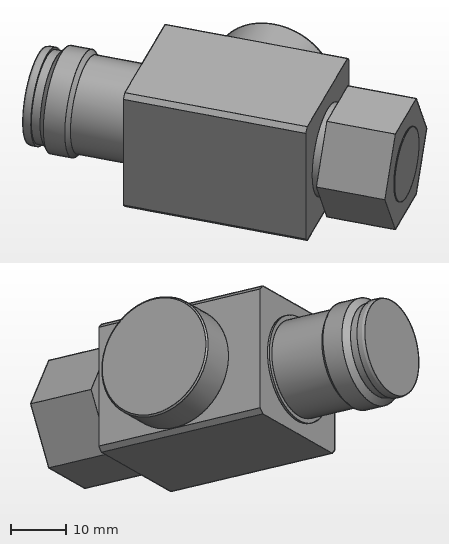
import cadquery as cq


BODY_START = 20.4
BODY_LENGTH = 34.9
BODY_WIDTH = 25.0
BODY_CHAMFER = 0.9
BODY_END = BODY_START + BODY_LENGTH

LIP_RADIUS = 9.2
LIP_CHAMFER_LENGTH = 0.5
LIP_CHAMFER_DEPTH = 0.15
LIP_END = 1.6
GROOVE_RADIUS = 8.8
GROOVE_END = 3.25
RIDGE_RADIUS = 10.05
RIDGE_START = 4.3
RIDGE_END = 8.4
BARREL_RADIUS = 9.2
BARREL_START = 9.2
COLLAR_RADIUS = 10.05
COLLAR_LENGTH = 0.4

CAP_RADIUS = 11.5
CAP_X = 38.75
CAP_HEIGHT = 7.1
CAP_CHAMFER = 0.3

NECK_RADIUS = 8.8
NECK_LENGTH = 1.9
NUT_ACROSS_FLATS = 21.0
NUT_LENGTH = 13.1
NUT_TURN = 30
END_DISC_RADIUS = 7.0
TOTAL_LENGTH = 70.5
NUT_START = BODY_END + NECK_LENGTH
NUT_END = NUT_START + NUT_LENGTH


def make_body():
    """Square block with its four lengthwise edges chamfered."""
    return (
        cq.Workplane("YZ", origin=(BODY_START, 0, 0))
        .rect(BODY_WIDTH, BODY_WIDTH)
        .extrude(BODY_LENGTH)
        .edges("|X")
        .chamfer(BODY_CHAMFER)
    )


def make_barrel():
    """Turned plug barrel: lip, groove, sloped ridge, shank and collar."""
    collar_start = BODY_START - COLLAR_LENGTH
    profile = [
        (0, 0),
        (0, LIP_RADIUS - LIP_CHAMFER_DEPTH),
        (LIP_CHAMFER_LENGTH, LIP_RADIUS),
        (LIP_END, LIP_RADIUS),
        (LIP_END, GROOVE_RADIUS),
        (GROOVE_END, GROOVE_RADIUS),
        (RIDGE_START, RIDGE_RADIUS),
        (RIDGE_END, RIDGE_RADIUS),
        (BARREL_START, BARREL_RADIUS),
        (collar_start, BARREL_RADIUS),
        (collar_start, COLLAR_RADIUS),
        (BODY_START, COLLAR_RADIUS),
        (BODY_START, 0),
    ]
    return cq.Workplane("XZ").polyline(profile).close().revolve(360, (0, 0, 0), (1, 0, 0))


def make_cap():
    """Round branch cap standing on the +Y face, with a chamfered rim."""
    return (
        cq.Workplane("XZ", origin=(CAP_X, 0, 0))
        .circle(CAP_RADIUS)
        .extrude(-(BODY_WIDTH / 2 + CAP_HEIGHT))
        .faces(">Y")
        .chamfer(CAP_CHAMFER)
    )


def make_disc(start, end, radius):
    """Cylinder along X between two axial positions."""
    return cq.Workplane("YZ", origin=(start, 0, 0)).circle(radius).extrude(end - start)


def make_nut():
    """Hexagon nut with corners on +/-Y and flats on +/-Z."""
    return (
        cq.Workplane("YZ", origin=(NUT_START, 0, 0))
        .transformed(rotate=(0, 0, NUT_TURN))
        .polygon(6, NUT_ACROSS_FLATS, circumscribed=True)
        .extrude(NUT_LENGTH)
    )


neck = make_disc(BODY_END, NUT_START, NECK_RADIUS)
end_disc = make_disc(NUT_END, TOTAL_LENGTH, END_DISC_RADIUS)

result = (
    make_body()
    .union(make_barrel())
    .union(make_cap())
    .union(neck)
    .union(make_nut())
    .union(end_disc)
)